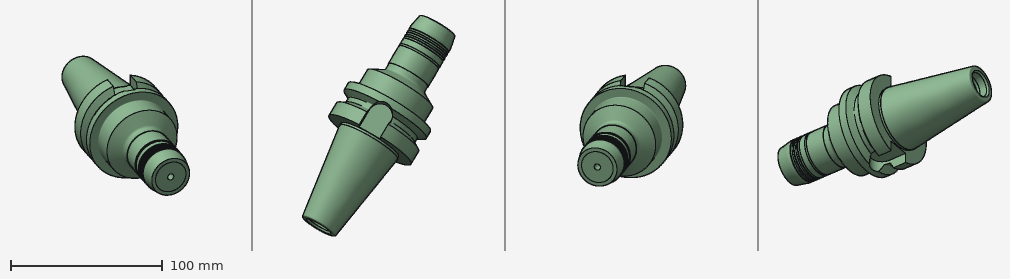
import cadquery as cq
import math

total_length = 155.4
taper_length = 65.5
flange_start = 67.1
flange_end = 92.6
hub_end = 106.6
rear_sleeve_start = 117.3
rear_sleeve_end = 131.0
front_sleeve_start = 132.4
nose_start = 146.7

taper_large_radius = 22.2
taper_slope = 7 / 48
relief_radius = 21.9
flange_radius = 63.0 / 2
hub_radius = 25.0
neck_radius = 14.9
sleeve_radius = 15.2
nose_end_radius = 13.5

hub_cone_angle = math.radians(60)
neck_blend_radius = 2.6
hub_cone_end_radius = neck_radius + neck_blend_radius * (1 - math.cos(hub_cone_angle))
hub_cone_end = hub_end + (hub_radius - hub_cone_end_radius) / math.tan(hub_cone_angle)
neck_start = hub_cone_end + neck_blend_radius * math.sin(hub_cone_angle)

taper_fillet = 1.0
groove_fillet = 0.5
flange_fillet = 0.5

groove_center = 82.0
groove_floor_radius = 26.4
groove_floor_width = 4.0
groove_wall_angle = math.radians(60)
groove_wall_width = (flange_radius - groove_floor_radius) / math.tan(groove_wall_angle)

slot_width = 16.3
slot_floor_height = 22.8
slot_end = 88.6

bore_mouth_radius = 9.5
bore_radius = 8.5
bore_mouth_length = 1.5
bore_depth = 6.8
inner_bore_radius = 8.4
inner_bore_depth = 9.0
thread_radius = 6.8
thread_end = 34.2
drill_point_angle = 120
pilot_radius = 3.5
pilot_end = 70.0
coolant_radius = 2.2

grip_start = 136.6
grip_pitch = 3.0
grip_width = 1.9
grip_depth = 0.3
grip_count = 3

spigot_radius = 10.9

tolerance = 0.002


def turned(points):
    """Solid of revolution about the X axis from (x, radius) points."""
    return cq.Workplane("XZ").polyline(points).close().revolve(360, (0, 0), (1, 0))


def tube(start, end, outer_radius, inner_radius):
    """Plain ring on the X axis."""
    return (
        cq.Workplane("YZ", origin=(start, 0, 0))
        .circle(outer_radius)
        .circle(inner_radius)
        .extrude(end - start)
    )


def fillet_circle(body, x, radius, fillet_radius):
    """Round the circular edge of the given radius at position x."""
    edges = [
        edge
        for edge in body.edges("%CIRCLE").vals()
        if math.isclose(edge.startPoint().x, x, abs_tol=tolerance)
        and math.isclose(edge.radius(), radius, abs_tol=tolerance)
    ]
    return body.newObject(edges).fillet(fillet_radius)


def holder_blank():
    """Taper, flange, hub, neck and spigot as one turned body."""
    taper_small_radius = taper_large_radius - taper_length * taper_slope
    floor_left = groove_center - groove_floor_width / 2
    floor_right = groove_center + groove_floor_width / 2
    mouth_left = floor_left - groove_wall_width
    mouth_right = floor_right + groove_wall_width
    profile = (
        cq.Workplane("XZ")
        .moveTo(0, 0)
        .lineTo(0, taper_small_radius)
        .lineTo(taper_length, taper_large_radius)
        .lineTo(taper_length, relief_radius)
        .lineTo(flange_start, relief_radius)
        .lineTo(flange_start, flange_radius)
        .lineTo(mouth_left, flange_radius)
        .lineTo(floor_left, groove_floor_radius)
        .lineTo(floor_right, groove_floor_radius)
        .lineTo(mouth_right, flange_radius)
        .lineTo(flange_end, flange_radius)
        .lineTo(flange_end, hub_radius)
        .lineTo(hub_end, hub_radius)
        .lineTo(hub_cone_end, hub_cone_end_radius)
        .tangentArcPoint((neck_start, neck_radius), relative=False)
        .lineTo(rear_sleeve_start, neck_radius)
        .lineTo(rear_sleeve_start, spigot_radius)
        .lineTo(total_length, spigot_radius)
        .lineTo(total_length, 0)
        .close()
    )
    blank = profile.revolve(360, (0, 0), (1, 0))
    blank = fillet_circle(blank, 0, taper_small_radius, taper_fillet)
    blank = fillet_circle(blank, floor_left, groove_floor_radius, groove_fillet)
    blank = fillet_circle(blank, floor_right, groove_floor_radius, groove_fillet)
    return fillet_circle(blank, flange_end, hub_radius, flange_fillet)


def stepped_bore():
    """Cutter for the bore, open at both ends of the holder."""
    countersink_end = inner_bore_depth + (inner_bore_radius - thread_radius)
    point_length = (thread_radius - pilot_radius) / math.tan(math.radians(drill_point_angle / 2))
    return turned([
        (0, 0),
        (0, bore_mouth_radius),
        (bore_mouth_length, bore_radius),
        (bore_depth, bore_radius),
        (bore_depth, inner_bore_radius),
        (inner_bore_depth, inner_bore_radius),
        (countersink_end, thread_radius),
        (thread_end, thread_radius),
        (thread_end + point_length, pilot_radius),
        (pilot_end, pilot_radius),
        (pilot_end, coolant_radius),
        (total_length, coolant_radius),
        (total_length, 0),
    ])


def drive_slot():
    """Cutter for the upper slot, open toward the taper."""
    round_center = slot_end - slot_width / 2
    top = cq.Workplane("XY", origin=(0, 0, slot_floor_height))
    depth = flange_radius - slot_floor_height
    straight = (
        top.center((flange_start + round_center) / 2, 0)
        .rect(round_center - flange_start, slot_width)
        .extrude(depth)
    )
    round_end = top.center(round_center, 0).circle(slot_width / 2).extrude(depth)
    return straight.union(round_end)


def make_holder():
    """Holder with its bore and both drive slots."""
    holder = holder_blank().cut(stepped_bore())
    for angle in (0, 180):
        holder = holder.cut(drive_slot().rotate((0, 0, 0), (1, 0, 0), angle))
    return holder


def make_rear_sleeve():
    """Ring with a lower lip that leaves a narrow groove before the front sleeve."""
    lip = tube(rear_sleeve_end, front_sleeve_start, neck_radius, spigot_radius)
    return tube(rear_sleeve_start, rear_sleeve_end, sleeve_radius, spigot_radius).union(lip)


def grip_groove(start):
    """Cutter for a ring groove with 45 degree walls."""
    end = start + grip_width
    floor_radius = sleeve_radius - grip_depth
    return turned([
        (start, sleeve_radius),
        (start + grip_depth, floor_radius),
        (end - grip_depth, floor_radius),
        (end, sleeve_radius),
    ])


def make_front_sleeve():
    """Sleeve with a tapered nose and grip grooves."""
    sleeve = turned([
        (front_sleeve_start, spigot_radius),
        (front_sleeve_start, sleeve_radius),
        (nose_start, sleeve_radius),
        (total_length, nose_end_radius),
        (total_length, spigot_radius),
    ])
    for index in range(grip_count):
        sleeve = sleeve.cut(grip_groove(grip_start + index * grip_pitch))
    return sleeve


holder = make_holder()
rear_sleeve = make_rear_sleeve()
front_sleeve = make_front_sleeve()
result = cq.Compound.makeCompound([holder.val(), rear_sleeve.val(), front_sleeve.val()])